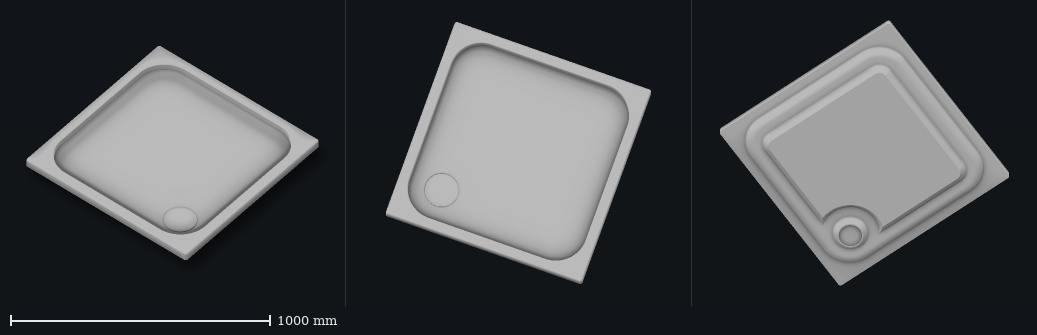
import cadquery as cq


rim_size = 806.39
rim_height = 38.0
rim_round = 11.0

basin_corner = 239.0
underside_corner = 244.0
wall_top_half = 361.0
wall_bottom_half = 359.5
lip_round = 5.5
floor_depth = 55.0
floor_half = 328.0
cove_radius = 33.5
cutter_top = 10.0
basin_depth = 60.0
underside_half = 329.0
underside_radius = 40.0

total_height = 85.1
foot_height = total_height - basin_depth
foot_bottom_half = 274.0
foot_top_half = foot_bottom_half + foot_height

cover_radius = 129.75 / 2
cover_bottom_z = -basin_depth
cover_edge_z = -floor_depth
dome_height = 10.0
dome_radius = (cover_radius**2 + dome_height**2) / (2 * dome_height)

drain_x = 232.0
drain_y = -232.0
outlet_radius = 90.0 / 2
funnel_wall = 5.0
funnel_spread = (cover_radius - outlet_radius) / (cover_bottom_z + total_height)
mouth_round = 12.0
notch_bottom_radius = 131.0


def rounded_square(half, corner):
    """Square with corner arcs centred at the distance `corner` from the middle in X and Y."""
    return cq.Sketch().rect(2 * half, 2 * half).vertices().fillet(half - corner)


def rounded_block(half, corner, bottom_z, top_z):
    outline = rounded_square(half, corner)
    return cq.Workplane("XY", (0, 0, bottom_z)).placeSketch(outline).extrude(top_z - bottom_z)


def tapered_block(bottom_half, top_half, corner, bottom_z, top_z):
    lower = rounded_square(bottom_half, corner)
    upper = rounded_square(top_half, corner)
    lift = cq.Location(cq.Vector(0, 0, top_z - bottom_z))
    return cq.Workplane("XY", (0, 0, bottom_z)).placeSketch(lower, upper.moved(lift)).loft()


def drain_cone(bottom_radius, spread, height):
    """Cone about the drain that stands on the tray's lowest level and widens upwards by spread."""
    base = cq.Vector(drain_x, drain_y, -total_height)
    top_radius = bottom_radius + spread * height
    return cq.Workplane(cq.Solid.makeCone(bottom_radius, top_radius, height, base))


def make_rim():
    rim = cq.Workplane("XY").rect(rim_size, rim_size).extrude(-rim_height)
    return rim.edges("|Z or >Z").fillet(rim_round)


def bowl(flat_half, edge_radius, corner, bottom_z, top_z):
    """Rounded square block with a rounded lower edge around a flat bottom."""
    block = rounded_block(flat_half + edge_radius, corner, bottom_z, top_z)
    return block.faces("<Z").edges().fillet(edge_radius)


def make_basin_outside():
    return bowl(underside_half, underside_radius, underside_corner, -basin_depth, -lip_round)


def make_basin_cavity():
    walls = tapered_block(wall_bottom_half, wall_top_half, basin_corner, -floor_depth, 0)
    return walls.intersect(bowl(floor_half, cove_radius, basin_corner, -floor_depth, cutter_top))


def make_foot():
    pad = tapered_block(foot_bottom_half, foot_top_half, underside_corner, -total_height, -basin_depth)
    notch = drain_cone(notch_bottom_radius, -funnel_spread, foot_height)
    return pad.cut(notch)


def make_tray():
    tray = make_rim().union(make_basin_outside()).cut(make_basin_cavity())
    reach = wall_top_half + lip_round
    mouth_edges = cq.selectors.BoxSelector((-reach, -reach, -lip_round), (reach, reach, lip_round))
    tray = tray.edges(mouth_edges).fillet(lip_round)
    funnel = drain_cone(outlet_radius + funnel_wall, funnel_spread, foot_height)
    tray = tray.union(make_foot()).union(funnel)
    tray = tray.cut(drain_cone(outlet_radius, funnel_spread, total_height - floor_depth))
    drain_mouth = cq.selectors.NearestToPointSelector((drain_x, drain_y, -floor_depth))
    return tray.edges(drain_mouth).fillet(mouth_round)


def make_drain_cover():
    profile = (
        cq.Workplane("XZ")
        .moveTo(0, cover_bottom_z)
        .lineTo(cover_radius, cover_bottom_z)
        .lineTo(cover_radius, cover_edge_z)
        .radiusArc((0, cover_edge_z + dome_height), -dome_radius)
        .close()
    )
    return profile.revolve(360, (0, 0, 0), (0, 1, 0)).translate((drain_x, drain_y, 0))


tray = make_tray()
drain_cover = make_drain_cover()
result = cq.Compound.makeCompound([tray.val(), drain_cover.val()])